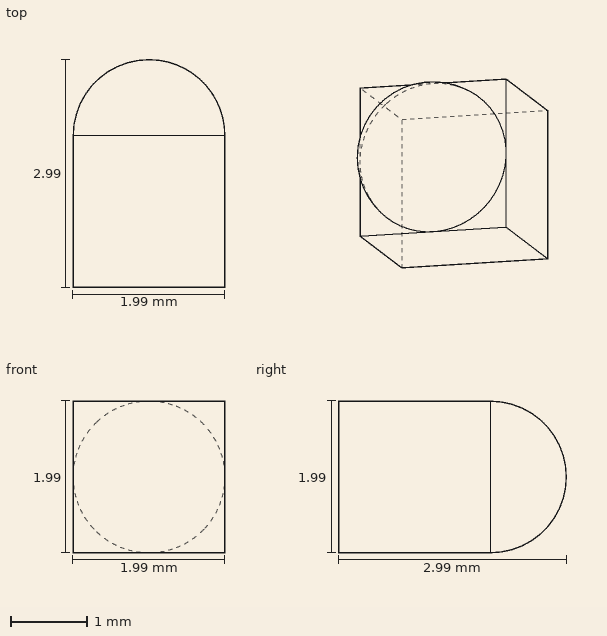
import cadquery as cq

OVERALL_LENGTH = 2.99
DOME_RADIUS = OVERALL_LENGTH / 3
BLOCK_SIDE = 2 * DOME_RADIUS


def make_block():
    """Plain cube whose back face lies on the XZ plane."""
    return cq.Workplane("XY").box(BLOCK_SIDE, BLOCK_SIDE, BLOCK_SIDE).translate((0, -BLOCK_SIDE / 2, 0))


def make_dome():
    """Hemisphere with its flat side on the block's back face, bulging toward +Y."""
    return (
        cq.Workplane("XY")
        .moveTo(0, 0)
        .lineTo(DOME_RADIUS, 0)
        .radiusArc((0, DOME_RADIUS), -DOME_RADIUS)
        .close()
        .revolve(360, (0, 0, 0), (0, 1, 0))
    )


block = make_block()
dome = make_dome()

result = cq.Compound.makeCompound([block.val(), dome.val()])